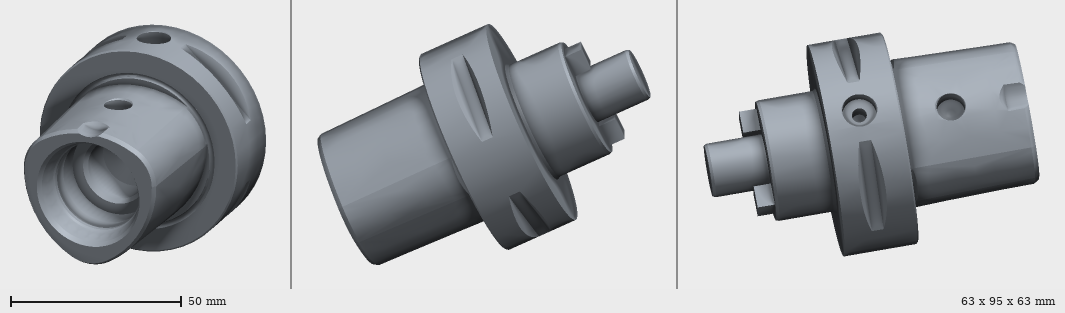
import cadquery as cq
import math


total_length = 95.0

flange_radius = 31.49
flange_width = 22.0
flange_chamfer = 0.5
rim_feature_y = 12.0
collar_radius = 18.0
collar_end = 39.9
collar_flare = 0.6
collar_flare_length = 0.95
collar_edge_radial = 0.3
pilot_radius = 8.0
pilot_end = 57.0
pilot_edge_radial = 0.4
edge_length = 0.9

key_inner = 8.5
key_outer = 15.1
key_width = 8.0
key_height = 5.1

shank_length = total_length - pilot_end
lobe_reach = 23.3
side_reach = 20.6
lobe_radius = 13.1
straight_length = 1.9
tip_chamfer_length = 1.4
tip_chamfer_angle = 30.0
taper_slope = 1 / 40
taper_angle = math.degrees(math.atan(taper_slope))

groove_inner = 22.6
groove_outer = 24.3
relief_length = 1.1

bore_mouth_radius = 16.3
bore_radius = 15.4
bore_mouth_depth = 1.6
cone_end_radius = 14.0
cone_end_depth = 6.65
lip_radius = 13.6
lip_edge_length = 0.8
clamp_groove_depth = 11.2
clamp_groove_edge_radius = 15.0
clamp_groove_half_width = 0.95
seat_depth = 20.7
thread_mouth_radius = 10.3
thread_core_radius = 9.1
thread_end = 33.25
drill_angle = 118.0

pocket_radius = 5.3
pocket_depth = 4.8
pocket_edge = 0.3
pocket_drill_radius = 2.2
pocket_drill_depth = 5.7
cross_hole_y = -15.3
cross_hole_radius = 4.2
cross_hole_bottom = 14.5
cross_hole_angle = 140.0
cross_hole_countersink = 0.4

slot_floor_radius = 27.8
slot_floor_width = 3.5
slot_mouth_width = 7.6

notch_radius = 6.5
notch_floor = 18.05
notch_length = 6.3


def revolve_about_y(points):
    """Turn a closed (radius, y) outline about the Y axis."""
    return cq.Workplane("XY").polyline(points).close().revolve(360, (0, 0, 0), (0, 1, 0))


def drill_point(radius, angle):
    """Height of a drill tip with the given included angle."""
    return radius / math.tan(math.radians(angle / 2))


def cylinder_up(radius, y, bottom, top):
    """Cylinder along Z standing at X = 0."""
    return cq.Workplane("XY", origin=(0, y, bottom)).circle(radius).extrude(top - bottom)


def cone_up(bottom_radius, top_radius, y, bottom, height):
    """Cone along Z standing at X = 0."""
    cone = cq.Solid.makeCone(bottom_radius, top_radius, height, cq.Vector(0, y, bottom))
    return cq.Workplane(obj=cone)


def turned_body():
    return revolve_about_y([
        (0, 0),
        (flange_radius - flange_chamfer, 0),
        (flange_radius, flange_chamfer),
        (flange_radius, flange_width),
        (collar_radius + collar_flare, flange_width),
        (collar_radius, flange_width + collar_flare_length),
        (collar_radius, collar_end - edge_length),
        (collar_radius - collar_edge_radial, collar_end),
        (pilot_radius, collar_end),
        (pilot_radius, pilot_end - edge_length),
        (pilot_radius - pilot_edge_radial, pilot_end),
        (0, pilot_end),
    ])


def drive_keys():
    length = key_outer - key_inner
    middle = (key_inner + key_outer) / 2
    return (
        cq.Workplane("XZ", origin=(0, collar_end, 0))
        .pushPoints([(-middle, 0), (middle, 0)])
        .rect(length, key_width)
        .extrude(-key_height)
    )


def lobed_outline(y, inset):
    """Three lobe arcs and three side arcs, all tangent, moved inward by inset."""
    lobe_center = lobe_reach - lobe_radius
    gap = side_reach - lobe_radius
    side_center = (lobe_center**2 - gap**2) / (2 * gap - lobe_center)
    side_radius = side_center + side_reach
    tangent_angle = math.atan2(lobe_center * math.sin(math.radians(60)),
                               side_center + lobe_center * math.cos(math.radians(60)))

    def point(center, radius, axis_angle, turn):
        """Point at `turn` from a symmetry axis on an arc centred on that axis."""
        return (center * math.cos(axis_angle) + (radius - inset) * math.cos(axis_angle + turn),
                center * math.sin(axis_angle) + (radius - inset) * math.sin(axis_angle + turn))

    first_side = math.radians(90)
    sector = math.radians(120)
    outline = cq.Workplane("XZ", origin=(0, y, 0))
    outline = outline.moveTo(*point(-side_center, side_radius, first_side, -tangent_angle))
    for index in range(3):
        side_axis = first_side + index * sector
        lobe_axis = side_axis + sector / 2
        next_axis = side_axis + sector
        outline = outline.threePointArc(
            point(-side_center, side_radius, side_axis, 0),
            point(-side_center, side_radius, side_axis, tangent_angle))
        outline = outline.threePointArc(
            point(lobe_center, lobe_radius, lobe_axis, 0),
            point(-side_center, side_radius, next_axis, -tangent_angle))
    return outline.close()


def shank():
    taper_length = shank_length - straight_length - tip_chamfer_length
    taper_inset = taper_length * taper_slope
    straight = lobed_outline(flange_chamfer, 0).extrude(straight_length + flange_chamfer)
    taper = lobed_outline(-straight_length, 0).extrude(taper_length, taper=taper_angle)
    tip = lobed_outline(tip_chamfer_length - shank_length, taper_inset).extrude(
        tip_chamfer_length, taper=tip_chamfer_angle)
    return straight.union(taper).union(tip)


def face_groove():
    """Half-round ring groove, with relief of the lobe tips next to it."""
    radius = (groove_outer - groove_inner) / 2
    return (
        cq.Workplane("XY")
        .moveTo(groove_inner, 0)
        .threePointArc((groove_inner + radius, radius), (groove_outer, 0))
        .lineTo(groove_outer, -straight_length)
        .lineTo(lobe_reach, -straight_length)
        .lineTo(groove_inner, -relief_length)
        .close()
        .revolve(360, (0, 0, 0), (0, 1, 0))
    )


def bore():
    """Conical mouth, lip, rounded clamping groove, flat seat and draw-bolt hole."""
    def at(radius, depth):
        return (radius, depth - shank_length)

    wall_height = clamp_groove_edge_radius - lip_radius
    floor_rise = clamp_groove_half_width * math.tan(math.radians(45 / 2))
    floor_start = clamp_groove_depth - clamp_groove_half_width
    floor_end = clamp_groove_depth + clamp_groove_half_width
    thread_mouth_end = seat_depth + thread_mouth_radius - thread_core_radius
    thread_tip = thread_end + drill_point(thread_core_radius, drill_angle)
    return (
        cq.Workplane("XY")
        .moveTo(*at(0, 0))
        .lineTo(*at(bore_mouth_radius, 0))
        .lineTo(*at(bore_radius, bore_mouth_depth))
        .lineTo(*at(cone_end_radius, cone_end_depth))
        .lineTo(*at(lip_radius, cone_end_depth + lip_edge_length))
        .lineTo(*at(lip_radius, floor_start - wall_height))
        .lineTo(*at(clamp_groove_edge_radius, floor_start))
        .threePointArc(at(clamp_groove_edge_radius + floor_rise, clamp_groove_depth),
                       at(clamp_groove_edge_radius, floor_end))
        .lineTo(*at(lip_radius, floor_end + wall_height))
        .lineTo(*at(lip_radius, seat_depth))
        .lineTo(*at(thread_mouth_radius, seat_depth))
        .lineTo(*at(thread_core_radius, thread_mouth_end))
        .lineTo(*at(thread_core_radius, thread_end))
        .lineTo(*at(0, thread_tip))
        .close()
        .revolve(360, (0, 0, 0), (0, 1, 0))
    )


def flange_pocket():
    """Flat-bottomed pocket with a small drilled hole in its floor."""
    floor = flange_radius - pocket_depth
    drill_bottom = floor - pocket_drill_depth
    tip_height = drill_point(pocket_drill_radius, drill_angle)
    pocket = cylinder_up(pocket_radius - pocket_edge, rim_feature_y, floor, flange_radius)
    mouth = cone_up(pocket_radius - 2 * pocket_edge, pocket_radius, rim_feature_y,
                    flange_radius - 2 * pocket_edge, 2 * pocket_edge)
    drill = cylinder_up(pocket_drill_radius, rim_feature_y, drill_bottom, floor)
    tip = cone_up(0, pocket_drill_radius, rim_feature_y, drill_bottom - tip_height, tip_height)
    return pocket.union(mouth).union(drill).union(tip)


def cross_hole():
    """Blind drilled hole in the shank wall, countersunk at its mouth."""
    surface = side_reach + (cross_hole_y + straight_length) * taper_slope
    tip_height = drill_point(cross_hole_radius, cross_hole_angle)
    hole = cylinder_up(cross_hole_radius, cross_hole_y, cross_hole_bottom, flange_radius)
    tip = cone_up(0, cross_hole_radius, cross_hole_y, cross_hole_bottom - tip_height, tip_height)
    mouth = cone_up(cross_hole_radius, cross_hole_radius + 2 * cross_hole_countersink, cross_hole_y,
                    surface - cross_hole_countersink, 2 * cross_hole_countersink)
    return hole.union(tip).union(mouth)


def gripper_slot(angle):
    """Straight slot with sloping sides, cut across the flange rim."""
    return (
        cq.Workplane("YZ", origin=(-flange_radius, 0, 0))
        .moveTo(rim_feature_y - slot_floor_width / 2, slot_floor_radius)
        .lineTo(rim_feature_y + slot_floor_width / 2, slot_floor_radius)
        .lineTo(rim_feature_y + slot_mouth_width / 2, flange_radius)
        .lineTo(rim_feature_y - slot_mouth_width / 2, flange_radius)
        .close()
        .extrude(2 * flange_radius)
        .rotate((0, 0, 0), (0, 1, 0), angle)
    )


def orientation_notch():
    """Round-bottomed notch along Y that runs out in a 45 degree cone."""
    axis_z = notch_floor + notch_radius
    cone_base = notch_length - shank_length
    return (
        revolve_about_y([
            (0, -shank_length),
            (notch_radius, -shank_length),
            (notch_radius, cone_base),
            (0, cone_base + notch_radius),
        ])
        .translate((0, 0, axis_z))
    )


result = turned_body().cut(face_groove()).union(drive_keys())
result = result.union(shank().cut(face_groove()))
result = result.cut(bore()).cut(flange_pocket()).cut(cross_hole()).cut(orientation_notch())
for slot_angle in (45, 135, 225, 315):
    result = result.cut(gripper_slot(slot_angle))